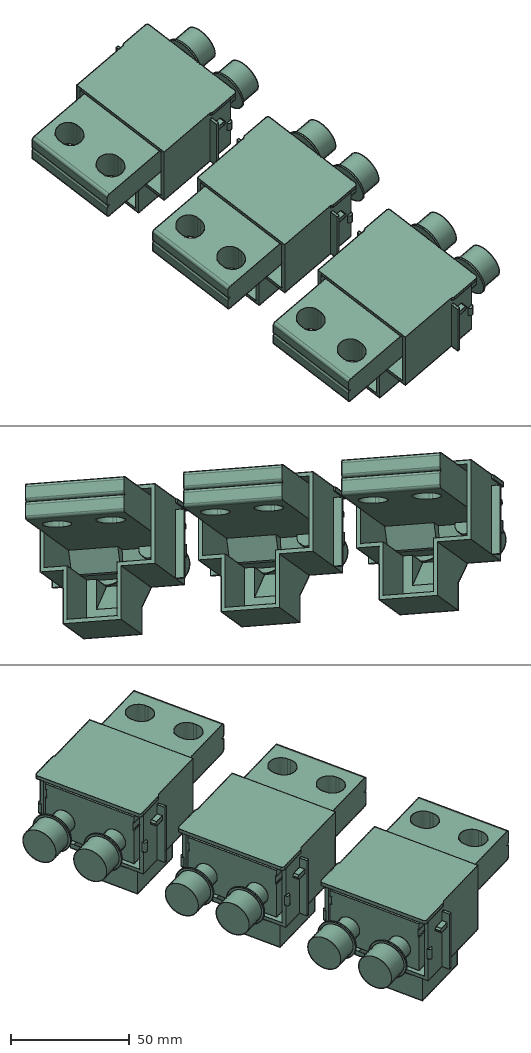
import cadquery as cq
import math

total_width = 198.5
total_height = 57.8
unit_count = 3

wall = 1.8
flange_width = 58.4
flange_height = 29.8
flange_front = 28.2
flange_rear = 29.4
tube_width = 50.8
tube_height = 34.5
tube_rear = 40.7
lid_width = 52.0
lid_rear = 43.9
lid_corner = 1.2
pocket_width = 25.8
pocket_offset = -2.4
pocket_rear = 28.5
chute_width = 21.5
chute_rear_drop = 0.5
chute_foot = 12.0
peg_reach = 2.5
peg_rear = 35.0
peg_height = 2.4
peg_depth_below_top = 11.0
peg_chamfer = 0.8
boss_radius = 1.2
boss_rear_margin = 1.0
boss_top_depth = 17.5
boss_height = 5.2

tube_bottom = total_height - tube_height
tube_floor = tube_bottom + wall
inner_width = tube_width - 2 * wall
pocket_right = pocket_offset + pocket_width / 2
chute_centre = pocket_right - chute_width / 2
pitch = (total_width - flange_width) / (unit_count - 1)

connector_width = 43.7
connector_front = -31.2
bar_top = total_height - 3.5
bar_height = 7.7
bar_count = 2
bar_round = 1.4
slot_length = 12.5
slot_width = 11.0
slot_offset = 12.0
slot_y = -18.7
block_rear = 42.3
block_top = total_height - 4.2
block_bottom = total_height - 29.4
left_pad_front = 27.8
left_pad_lean = 24.7
right_pad_front = 33.7
right_pad_lean = 10.7
pad_edge = 0.5
groove_top = block_top - 3.2
groove_height = 4.2
groove_depth = 0.5

bolt_offset = 12.5
bolt_z = 37.7
bolt_rear = 62.7
shank_diameter = 10.3
tip_diameter = 8.3
tip_front = 30.8
head_diameter = 16.3
head_length = 10.1
washer_diameter = 18.5
washer_thickness = 0.8

bar_bottom = bar_top - bar_count * bar_height
bar_rear = right_pad_front


def block(x_centre, x_size, y_range, z_range):
    """Axis-aligned block from its X centre and width and its Y and Z limits."""
    y_low, y_high = y_range
    z_low, z_high = z_range
    return (
        cq.Workplane("XY")
        .box(x_size, y_high - y_low, z_high - z_low, centered=(True, False, False))
        .translate((x_centre, y_low, z_low))
    )


def side_profile(points, x_centre, x_size):
    """Prism along X from (Y, Z) points."""
    return (
        cq.Workplane("YZ")
        .polyline(points)
        .close()
        .extrude(x_size / 2, both=True)
        .translate((x_centre, 0, 0))
    )


def make_lid():
    """Top plate, overhanging the rear opening and tapering back to the tube width in front."""
    lid_half = lid_width / 2
    tube_half = tube_width / 2
    outline = [
        (-tube_half, flange_front),
        (tube_half, flange_front),
        (lid_half, flange_rear),
        (lid_half, lid_rear),
        (-lid_half, lid_rear),
        (-lid_half, flange_rear),
    ]
    return (
        cq.Workplane("XY", origin=(0, 0, total_height - wall))
        .polyline(outline)
        .close()
        .extrude(wall)
        .edges("|Z and >Y")
        .fillet(lid_corner)
    )


def make_chute():
    """Sloping duct from the rear of the tube floor down to the pocket."""
    outline = [
        (pocket_rear - wall, tube_floor),
        (pocket_rear - wall, chute_foot),
        (pocket_rear, chute_foot),
        (tube_rear, tube_bottom - chute_rear_drop),
        (tube_rear, tube_floor),
    ]
    return side_profile(outline, chute_centre, chute_width)


def make_chute_opening():
    """Space in the duct, open into the pocket and through the tube floor."""
    outline = [
        (pocket_rear - wall, tube_floor),
        (pocket_rear - wall, chute_foot),
        (tube_rear, tube_floor),
    ]
    return side_profile(outline, chute_centre, chute_width - 2 * wall)


def make_side_details(side):
    """Locating peg and half-round latch boss on one side (-1 left, 1 right)."""
    peg_z = total_height - peg_depth_below_top
    peg_inset = wall / 2
    peg = block(
        side * (tube_width + peg_reach - peg_inset) / 2,
        peg_reach + peg_inset,
        (flange_front, peg_rear),
        (peg_z - peg_height / 2, peg_z + peg_height / 2),
    )
    peg = peg.edges("|X and >Y").chamfer(peg_chamfer)
    boss_bottom = total_height - boss_top_depth - boss_height
    boss_y = tube_rear - boss_rear_margin
    boss = (
        cq.Workplane("XY", origin=(side * tube_width / 2, boss_y, boss_bottom))
        .circle(boss_radius)
        .extrude(boss_height)
    )
    return peg.union(boss)


def make_housing():
    """Open tube with a flange, a lid and a pocket below that is closed at the rear."""
    housing = block(0, tube_width, (0, tube_rear), (tube_bottom, total_height))
    flange = block(
        0, flange_width, (flange_front, flange_rear), (tube_bottom, tube_bottom + flange_height)
    )
    pocket = block(pocket_offset, pocket_width, (0, pocket_rear), (0, tube_floor))
    housing = housing.union(flange).union(pocket).union(make_chute()).union(make_lid())
    for side in (-1, 1):
        housing = housing.union(make_side_details(side))
    tube_opening = block(0, inner_width, (0, tube_rear), (tube_floor, total_height - wall))
    pocket_opening = block(
        pocket_offset, pocket_width - 2 * wall, (0, pocket_rear - wall), (wall, tube_floor)
    )
    return housing.cut(tube_opening).cut(pocket_opening).cut(make_chute_opening())


def make_bars():
    """Stacked contact bars with rounded front edges and two slots through both."""
    bars = cq.Workplane("XY")
    for index in range(bar_count):
        top = bar_top - index * bar_height
        bar = block(0, connector_width, (connector_front, bar_rear), (top - bar_height, top))
        bars = bars.union(bar.edges("|X and <Y").fillet(bar_round))
    slots = (
        cq.Workplane("XY", origin=(0, slot_y, bar_bottom))
        .pushPoints([(-slot_offset, 0), (slot_offset, 0)])
        .slot2D(slot_length, slot_width)
        .extrude(bar_top - bar_bottom)
    )
    return bars.cut(slots)


def make_pad(side, front, lean):
    """One half of the clamp block; its front face leans back towards the bottom."""
    half_width = connector_width / 2
    setback = (bar_bottom - block_bottom) * math.tan(math.radians(lean))
    outline = [
        (block_rear, block_top),
        (front, block_top),
        (front, bar_bottom),
        (front + setback, block_bottom),
        (block_rear, block_bottom),
    ]
    pad = side_profile(outline, side * half_width / 2, half_width)
    return pad.edges("|X and <Z").edges("<Y").chamfer(pad_edge)


def make_block_groove(side):
    """Shallow groove along one side of the clamp block."""
    return block(
        side * (connector_width - groove_depth) / 2,
        groove_depth,
        (right_pad_front, block_rear),
        (groove_top - groove_height, groove_top),
    )


def bolt_cylinder(x, diameter, y_front, y_rear):
    """Cylinder along Y on the bolt axis."""
    return (
        cq.Workplane("XZ", origin=(x, y_rear, bolt_z)).circle(diameter / 2).extrude(y_rear - y_front)
    )


def make_bolt(x):
    """Bolt behind the clamp block: tip through the block, shank, washer and head."""
    washer_rear = bolt_rear - head_length
    washer_front = washer_rear - washer_thickness
    tip = bolt_cylinder(x, tip_diameter, tip_front, block_rear)
    shank = bolt_cylinder(x, shank_diameter, block_rear, washer_front)
    washer = bolt_cylinder(x, washer_diameter, washer_front, washer_rear)
    head = bolt_cylinder(x, head_diameter, washer_rear, bolt_rear)
    return tip.union(shank).union(washer).union(head)


def make_connector():
    """Contact bars, clamp block and the two bolts as one piece."""
    connector = make_bars()
    connector = connector.union(make_pad(-1, left_pad_front, left_pad_lean))
    connector = connector.union(make_pad(1, right_pad_front, right_pad_lean))
    for side in (-1, 1):
        connector = connector.cut(make_block_groove(side))
        connector = connector.union(make_bolt(side * bolt_offset))
    return connector


housing = make_housing()
connector = make_connector()
bodies = []
for index in range(unit_count):
    unit_shift = ((index - (unit_count - 1) / 2) * pitch, 0, 0)
    bodies.append(housing.translate(unit_shift).solids().val())
    bodies.append(connector.translate(unit_shift).solids().val())

result = cq.Compound.makeCompound(bodies)